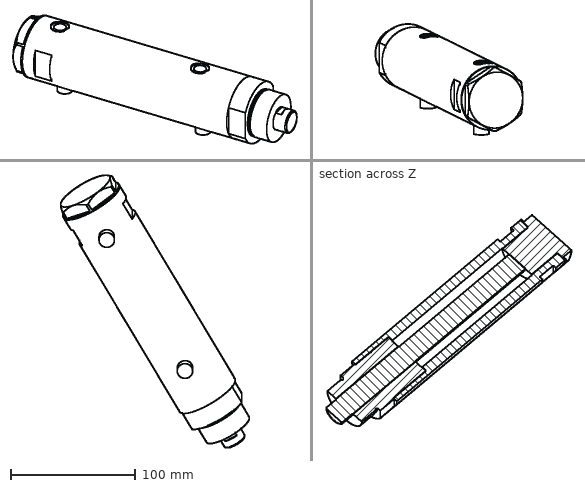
import cadquery as cq
import math

outer_diameter = 52.0
outer_radius = outer_diameter / 2
overall_height = 59.5
flats_across = 46.0
bore_radius = 17.0
gland_radius = 21.5
rod_radius = 9.5

collar_start = 9.0
tube_start = 10.5
cap_plug_end = 39.0
tube_flats_start = 20.8
tube_flats_length = 15.0
gland_start = 162.3
tube_end = 199.0
head_end = 214.5
groove_end = 216.3
nose_end = 232.5
rod_flats_end = 237.8
rod_end = 244.5

cap_sides = 6
cap_chamfer = 3.2

port_positions = (30.5, 159.8)
port_diameter = 10.0
spotface_diameter = 15.0
spotface_depth = 1.2

stud_positions = (35.0, 162.5)
stud_diameter = 12.5
stud_bottom = outer_radius - overall_height

groove_radius = 19.0
groove_root_chamfer = 0.7
nose_radius = 20.0
nose_chamfer = 1.0

rod_flats_across = 16.0
rod_chamfer = 1.0


def cylinder(radius, start, end):
    """Solid cylinder about the X axis between two stations."""
    return cq.Workplane("YZ").workplane(offset=start).circle(radius).extrude(end - start)


def slab(start, end, width, height):
    """Box centred on the X axis between two stations, width along Y and height along Z."""
    return cq.Workplane("XY").box(end - start, width, height).translate(((start + end) / 2, 0, 0))


def with_side_flats(body, start, end):
    """Cut the two wrench flats into a round body between two stations."""
    waste = cylinder(outer_radius, start, end).cut(slab(start, end, flats_across, outer_diameter))
    return body.cut(waste)


def make_cap():
    """Chamfered hexagonal cap with a round collar and a plug inside the tube."""
    corner_diameter = flats_across / math.cos(math.pi / cap_sides)
    hexagon = (
        cq.Workplane("YZ")
        .polygon(cap_sides, corner_diameter)
        .extrude(collar_start)
        .rotate((0, 0, 0), (1, 0, 0), 90)
    )
    chamfered_blank = cylinder(outer_radius, 0, collar_start).faces("<X").chamfer(cap_chamfer)
    collar = cylinder(outer_radius, collar_start, tube_start)
    plug = cylinder(bore_radius, tube_start, cap_plug_end)
    return hexagon.intersect(chamfered_blank).union(collar).union(plug)


def make_tube():
    """Stepped-bore tube with two wrench flats, spotfaced ports on top and studs below."""
    tube = cylinder(outer_radius, tube_start, tube_end)
    for x in stud_positions:
        stud = (
            cq.Workplane("XY", origin=(x, 0, stud_bottom))
            .circle(stud_diameter / 2)
            .extrude(-bore_radius - stud_bottom)
        )
        tube = tube.union(stud)
    tube = tube.cut(cylinder(bore_radius, tube_start, tube_end))
    tube = tube.cut(cylinder(gland_radius, gland_start, tube_end))
    tube = with_side_flats(tube, tube_flats_start, tube_flats_start + tube_flats_length)
    for x in port_positions:
        top = cq.Workplane("XY", origin=(x, 0, outer_radius))
        tube = tube.cut(top.circle(spotface_diameter / 2).extrude(-spotface_depth))
        tube = tube.cut(top.circle(port_diameter / 2).extrude(-outer_radius))
    return tube


def make_head():
    """Head with a plug in the tube, two wrench flats, a necked nose and a bore for the rod."""
    flange = with_side_flats(cylinder(outer_radius, tube_end, head_end), tube_end, head_end)
    plug = cylinder(gland_radius, gland_start, tube_end)
    groove = cylinder(groove_radius, head_end, groove_end)
    root_cone = (
        cq.Workplane("YZ", origin=(head_end, 0, 0))
        .circle(groove_radius + groove_root_chamfer)
        .workplane(offset=groove_root_chamfer)
        .circle(groove_radius)
        .loft(ruled=True)
    )
    nose = cylinder(nose_radius, groove_end, nose_end).faces("<X").chamfer(nose_chamfer)
    rod_bore = cylinder(rod_radius, gland_start, nose_end)
    return flange.union(plug).union(groove).union(root_cone).union(nose).cut(rod_bore)


def make_rod():
    """Round rod from the cap plug to the tip, with flats on its top and bottom outside the nose."""
    rod = cylinder(rod_radius, cap_plug_end, rod_end).faces(">X").chamfer(rod_chamfer)
    neck = slab(nose_end, rod_flats_end, 2 * rod_radius, rod_flats_across)
    waste = cylinder(rod_radius, nose_end, rod_flats_end).cut(neck)
    return rod.cut(waste)


cap = make_cap()
tube = make_tube()
head = make_head()
rod = make_rod()

result = cq.Compound.makeCompound([cap.val(), tube.val(), head.val(), rod.val()])